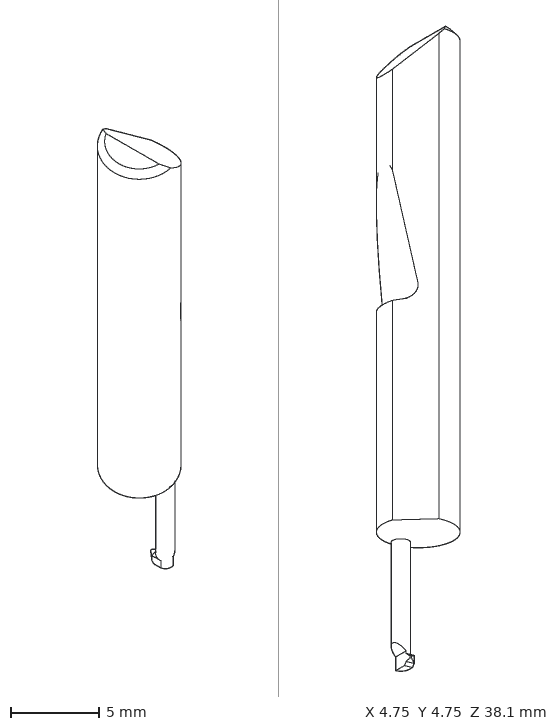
import cadquery as cq

total_length = 38.1
shank_diameter = 4.75
shank_radius = shank_diameter / 2
neck_length = 7.65
neck_radius = 0.552
neck_x = shank_radius - neck_radius

top_chamfer = 0.42
flat_distance = 2.0
flat_angle = 143.0
bevel_edge_y = -0.65
notch_corner_y = 0.95
notch_corner_z = 21.3
notch_tilt = 9.5
notch_radius = 0.85

rake_height = 0.85
tooth_tip_x = 0.88
tooth_tip_z = 0.35
tooth_tip_width = 0.1
tooth_root_x = neck_x - neck_radius
tooth_root_bottom = 0.2
tooth_top = 0.7
tip_bevel_x = 1.45
tooth_back_x = 1.9
tooth_thickness = neck_radius
tooth_tip_thickness = 0.1


def make_shank():
    shank = cq.Workplane("XY").workplane(offset=neck_length)
    shank = shank.circle(shank_radius).extrude(total_length - neck_length)
    return shank.faces(">Z").chamfer(top_chamfer)


def side_flat_cutter():
    width = 2 * shank_diameter
    cutter = cq.Workplane("XY").box(shank_diameter, width, total_length, centered=(False, True, False))
    cutter = cutter.translate((flat_distance, 0, 0))
    return cutter.rotate((0, 0, 0), (0, 0, 1), flat_angle)


def top_bevel_cutter():
    reach = shank_diameter
    profile = cq.Workplane("YZ").moveTo(bevel_edge_y, total_length)
    profile = profile.lineTo(bevel_edge_y + reach, total_length)
    profile = profile.lineTo(bevel_edge_y + reach, total_length - reach).close()
    return profile.extrude(shank_radius, both=True)


def notch_cutter():
    """Tilted clamping notch with a rounded inner corner."""
    notch_height = 2 * shank_diameter
    cutter = cq.Workplane("XY").box(shank_diameter, shank_diameter, notch_height, centered=(True, False, False))
    cutter = cutter.edges("|X and <Y and <Z").fillet(notch_radius)
    cutter = cutter.rotate((0, 0, 0), (1, 0, 0), -notch_tilt)
    return cutter.translate((0, notch_corner_y, notch_corner_z))


def make_neck():
    return cq.Workplane("XY").center(neck_x, 0).circle(neck_radius).extrude(neck_length)


def rake_cutter():
    """Half of the neck end, running out upwards at 45 degrees."""
    profile = cq.Workplane("YZ").polyline([
        (0, 0),
        (0, rake_height),
        (2 * neck_radius, rake_height + 2 * neck_radius),
        (2 * neck_radius, 0),
    ]).close()
    return profile.extrude(shank_radius)


def tip_bevel_cutter():
    profile = cq.Workplane("XZ").polyline([
        (tooth_root_x, 0),
        (tip_bevel_x, 0),
        (tooth_root_x, tooth_root_bottom),
    ]).close()
    return profile.extrude(neck_radius)


def make_tooth():
    """Pointed groove-cutting tooth with its rake face on Y = 0."""
    profile = cq.Workplane("XZ").polyline([
        (tooth_back_x, tooth_top),
        (tooth_root_x, tooth_top),
        (tooth_tip_x, tooth_tip_z + tooth_tip_width / 2),
        (tooth_tip_x, tooth_tip_z - tooth_tip_width / 2),
        (tooth_root_x, tooth_root_bottom),
        (tip_bevel_x, 0),
        (tooth_back_x, 0),
    ]).close()
    return profile.extrude(tooth_thickness)


def tooth_flank_cutter():
    """Clearance that thins the tooth from its root to its tip."""
    profile = cq.Workplane("XY").polyline([
        (tooth_root_x, -tooth_thickness),
        (tooth_tip_x, -tooth_thickness),
        (tooth_tip_x, -tooth_tip_thickness),
    ]).close()
    return profile.extrude(rake_height)


shank = make_shank().cut(side_flat_cutter()).cut(top_bevel_cutter()).cut(notch_cutter())
neck = make_neck().cut(rake_cutter()).cut(tip_bevel_cutter())
tooth = make_tooth().cut(tooth_flank_cutter())
result = shank.union(neck).union(tooth)